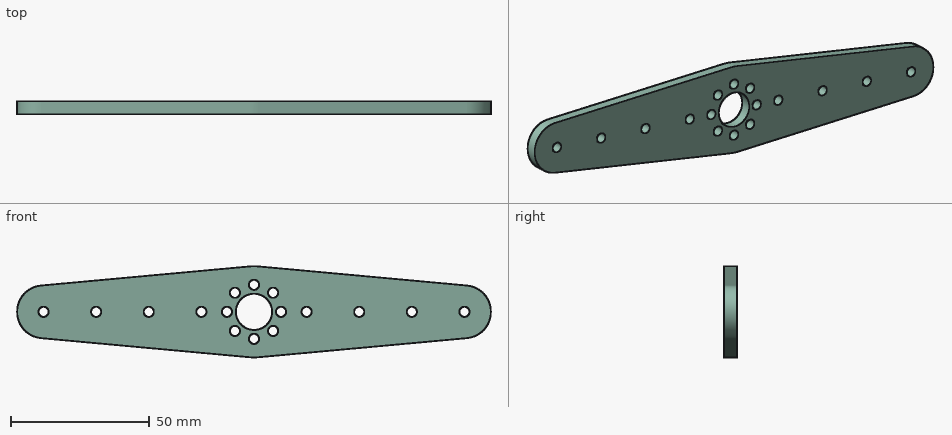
import cadquery as cq
import math

length = 171.4
height = 33.0
thickness = 4.8

hole_pitch = 19.0
holes_per_arm = 4
small_hole_diameter = 3.6
center_hole_diameter = 13.0
ring_radius = 9.8
ring_hole_count = 8

hub_radius = height / 2
end_center = holes_per_arm * hole_pitch
end_radius = length / 2 - end_center
taper_sine = (hub_radius - end_radius) / end_center
taper_cosine = math.sqrt(1 - taper_sine**2)

hub_x = hub_radius * taper_sine
hub_z = hub_radius * taper_cosine
end_x = end_center + end_radius * taper_sine
end_z = end_radius * taper_cosine


def make_plate():
    """Tapered plate in the XZ plane, centered through its thickness."""
    return (
        cq.Workplane("XZ")
        .moveTo(-hub_x, hub_z)
        .threePointArc((0, hub_radius), (hub_x, hub_z))
        .lineTo(end_x, end_z)
        .threePointArc((length / 2, 0), (end_x, -end_z))
        .lineTo(hub_x, -hub_z)
        .threePointArc((0, -hub_radius), (-hub_x, -hub_z))
        .lineTo(-end_x, -end_z)
        .threePointArc((-length / 2, 0), (-end_x, end_z))
        .close()
        .extrude(thickness / 2, both=True)
    )


def make_holes(points, diameter):
    """Cylinders that pass through the plate at the given points."""
    return (
        cq.Workplane("XZ")
        .pushPoints(points)
        .circle(diameter / 2)
        .extrude(thickness, both=True)
    )


arm_points = [
    (side * step * hole_pitch, 0)
    for side in (-1, 1)
    for step in range(1, holes_per_arm + 1)
]

ring_angles = [2 * math.pi * i / ring_hole_count for i in range(ring_hole_count)]
ring_points = [(ring_radius * math.cos(a), ring_radius * math.sin(a)) for a in ring_angles]

result = (
    make_plate()
    .cut(make_holes([(0, 0)], center_hole_diameter))
    .cut(make_holes(arm_points + ring_points, small_hole_diameter))
)